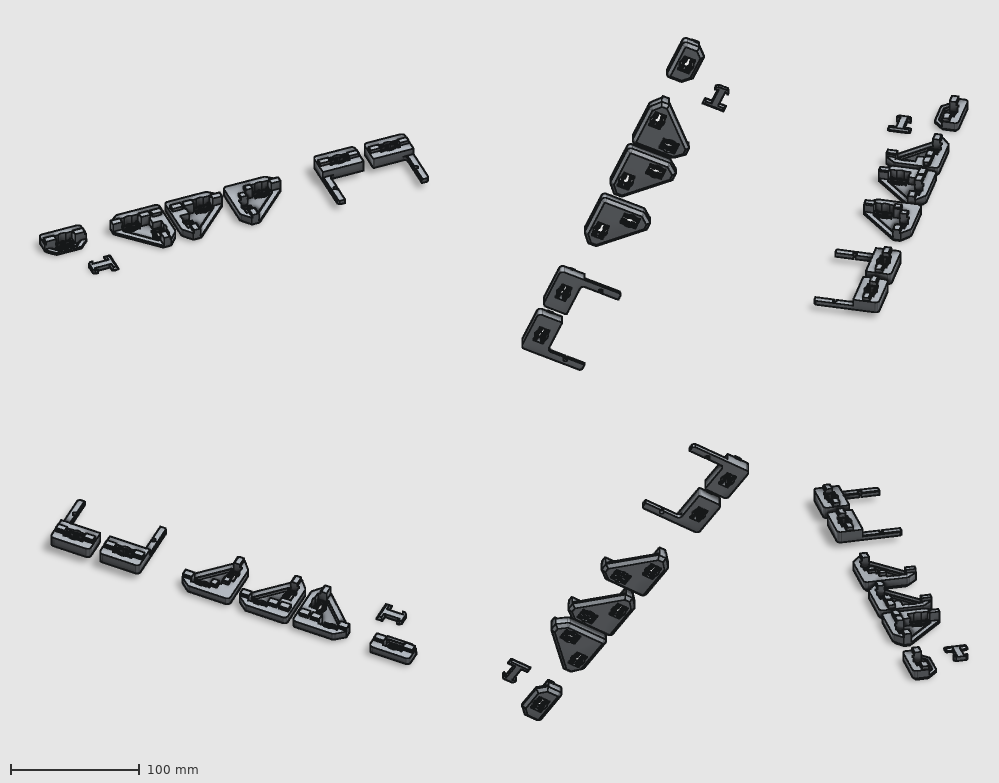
import cadquery as cq
BODY_HEIGHT = 9.2
RAIL_HEIGHT = 2.8
FLOOR_HEIGHT = 2.8
LOW_WALL_HEIGHT = 4.5
RECESS_CHAMFER = 1.2
BASE_CHAMFER = 2.8
CORNER_RADIUS = 3.0

RAIL_WIDTH = 5.5
RAIL_OFFSET = 10.0
RAIL_CHAMFER = 1.0
SLIM_RAIL_CHAMFER = 0.3
RAIL_END_CHAMFER = 0.5
RAIL_INSET = 1.0
RAIL_INNER = RAIL_OFFSET + RAIL_WIDTH / 2
RAIL_OUTER = RAIL_OFFSET - RAIL_WIDTH / 2

POCKET_LENGTH = 16.0
POCKET_WIDTH = 9.2
POCKET_CIRCLE = 11.0
FRAME_END = 1.5
BAR_OUTER = 3.0
BAR_THICKNESS = 0.5
TOOTH_DEPTH = 0.77
TOOTH_LENGTH = 3.5
TOOTH_SPACING = 3.7
BUMP_DIAMETER = 1.5

BLOCK_WIDTH = 20.3
ARM_BLOCK_LENGTH = 34.5
END_BLOCK_LENGTH = 34.7
EDGE_RADIUS = 0.5

ARM_BASE = 5.5
ARM_LENGTH = 31.3
ARM_POCKET_WIDTH = 8.3
ARM_POCKET_CIRCLE = 10.5
ARM_FRAME_HEIGHT = 8.3
ARM_WIDTH = 5.8
ARM_HEIGHT = 3.7
ARM_CHAMFER = 0.5
ARM_TIP_CHAMFER = 1.5
ARM_ROOT_RADIUS = 2.8
NOTCH_DIAMETER = 3.5
NOTCH_X = 36.0
NOTCH_INSET = 1.5
UPPER_BLOCK_TOP = 16.5
UPPER_BLOCK_Y = 290.5
LOWER_BLOCK_Y = 248.0

BRACKET_X = 1.8
CORNER_SIZE = 43.3
CORNER_END_WIDTH = 6.8
CORNER_BEVEL = 8.0
POCKET_CENTRE = 27.5
RECESS_DIAGONAL = 50.0
PLAIN_RAIL_START = 14.0
KEYED_RAIL_START = 12.0
KEY_START = 1.8
KEY_END = 10.0
KEY_CHAMFER = 1.2
PLAIN_CORNER_Y = 154.5
KEYED_CORNER_Y = 105.3
MIRRORED_CORNER_Y = 100.5

END_BEVEL = 6.8
END_WALL = 2.8

CLIP_X = 46.5
CLIP_Y = 25.5
CLIP_LENGTH = 19.5
CLIP_HEIGHT = 3.7
HEAD_LENGTH = 17.8
HEAD_WIDTH = 5.2
HEAD_CHAMFER = 1.5
SHANK_WIDTH = 5.5
FOOT_BASE = 8.0
FOOT_WIDTH = 11.0
FOOT_BEVEL = 1.5
HOOK_TIP = 3.7
HOOK_ROOT = 2.0


def box(x_min, x_max, y_min, y_max, z_min, z_max):
    """Box between the given limits."""
    size = (x_max - x_min, y_max - y_min, z_max - z_min)
    return cq.Workplane().box(*size, centered=False).translate((x_min, y_min, z_min))


def along_x(shape):
    """Swap X and Y, so that a feature of the Y rail moves to the X rail."""
    return shape.rotate((0, 0, 0), (0, 0, 1), -90).mirror("XZ")


def pocket_cutter(width, circle):
    """Opening for the clip through the whole body: a rectangle with a round middle."""
    height = BODY_HEIGHT + RAIL_HEIGHT
    rectangle = cq.Workplane().rect(width, POCKET_LENGTH).extrude(height)
    return rectangle.union(cq.Workplane().circle(circle / 2).extrude(height))


def spring_frame(width, height):
    """Two ledges joined by toothed spring bars, each bar with a round bump outside."""
    bar_centre = BAR_OUTER - BAR_THICKNESS / 2
    tooth_centre = BAR_OUTER - BAR_THICKNESS - TOOTH_DEPTH / 2
    frame = cq.Workplane().pushPoints([(-bar_centre, 0), (bar_centre, 0)])
    frame = frame.rect(BAR_THICKNESS, POCKET_LENGTH).extrude(height)
    for side in (-1, 1):
        ledge_y = side * (POCKET_LENGTH - FRAME_END) / 2
        ledge = cq.Workplane().center(0, ledge_y).rect(width, FRAME_END)
        bump = cq.Workplane().center(side * BAR_OUTER, 0).circle(BUMP_DIAMETER / 2)
        teeth = cq.Workplane().pushPoints(
            [(side * tooth_centre, -TOOTH_SPACING), (side * tooth_centre, TOOTH_SPACING)]
        )
        teeth = teeth.rect(TOOTH_DEPTH, TOOTH_LENGTH)
        for outline in (ledge, bump, teeth):
            frame = frame.union(outline.extrude(height))
    return frame


def rail(start, end, chamfer_width):
    """Rail along Y on top of the body, chamfered on its outer upper edge."""
    top = BODY_HEIGHT + RAIL_HEIGHT
    profile = [
        (RAIL_OUTER, BODY_HEIGHT),
        (RAIL_OUTER, top - RAIL_CHAMFER),
        (RAIL_OUTER + chamfer_width, top),
        (RAIL_INNER, top),
        (RAIL_INNER, BODY_HEIGHT),
    ]
    return cq.Workplane("XZ", origin=(0, start, 0)).polyline(profile).close().extrude(start - end)


def block_pocket(body, width, circle, frame_height):
    """Cut the clip pocket across the rail of a straight block and add its spring frame."""
    place = (RAIL_OFFSET, 0, 0)
    body = body.cut(pocket_cutter(width, circle).translate(place))
    return body.union(spring_frame(width, frame_height).translate(place))


def arm_bracket(block_bottom, block_top, arm_side):
    """Block around its pocket centre; the arm leaves it at the +Y (1) or -Y (-1) end."""
    body = box(0, BLOCK_WIDTH, block_bottom, block_top, 0, BODY_HEIGHT)
    body = body.edges("|Z and <X").fillet(CORNER_RADIUS)
    free_corner = "|Z and >X and <Y" if arm_side > 0 else "|Z and >X and >Y"
    body = body.edges(free_corner).fillet(EDGE_RADIUS)

    outer_y = block_top if arm_side > 0 else block_bottom
    inner_y = outer_y - arm_side * ARM_WIDTH
    arm_y = sorted((outer_y, inner_y))
    tip_x = BLOCK_WIDTH + ARM_LENGTH
    arm = box(BLOCK_WIDTH - CORNER_RADIUS, tip_x, *arm_y, 0, ARM_HEIGHT)
    tip_corner = "|Z and >X and >Y" if arm_side > 0 else "|Z and >X and <Y"
    arm = arm.edges(tip_corner).chamfer(ARM_TIP_CHAMFER)
    arm = arm.edges("<Y and >Z").chamfer(ARM_CHAMFER)
    notch = cq.Workplane().center(NOTCH_X, inner_y + arm_side * NOTCH_INSET)
    arm = arm.cut(notch.circle(NOTCH_DIAMETER / 2).extrude(ARM_HEIGHT))

    root = (
        cq.Workplane()
        .moveTo(BLOCK_WIDTH, inner_y)
        .lineTo(BLOCK_WIDTH + ARM_ROOT_RADIUS, inner_y)
        .radiusArc((BLOCK_WIDTH, inner_y - arm_side * ARM_ROOT_RADIUS), -arm_side * ARM_ROOT_RADIUS)
        .close()
        .extrude(ARM_HEIGHT)
    )
    top_rail = rail(block_bottom + RAIL_INSET, block_top - RAIL_INSET, RAIL_CHAMFER)
    body = body.union(top_rail).union(arm).union(root)
    return block_pocket(body, ARM_POCKET_WIDTH, ARM_POCKET_CIRCLE, ARM_FRAME_HEIGHT)


def corner_body():
    """Triangular body with bevelled rail ends and a recess inside its slanted wall."""
    end_outer = RAIL_OFFSET - CORNER_END_WIDTH / 2
    end_inner = RAIL_OFFSET + CORNER_END_WIDTH / 2
    bevel_start = CORNER_SIZE - CORNER_BEVEL
    body = (
        cq.Workplane()
        .polyline(
            [
                (0, 0),
                (bevel_start, 0),
                (CORNER_SIZE, end_outer),
                (CORNER_SIZE, end_inner),
                (end_inner, CORNER_SIZE),
                (end_outer, CORNER_SIZE),
                (0, bevel_start),
            ]
        )
        .close()
        .extrude(BODY_HEIGHT)
    )
    body = body.edges("|Z and (<X or <Y)").fillet(CORNER_RADIUS)
    body = body.faces("<Z").edges().chamfer(BASE_CHAMFER)

    recess_end = POCKET_CENTRE + POCKET_LENGTH / 2
    recess = (
        cq.Workplane()
        .workplane(offset=FLOOR_HEIGHT)
        .polyline(
            [
                (RAIL_INNER, RAIL_INNER),
                (recess_end, RAIL_INNER),
                (recess_end, RECESS_DIAGONAL - recess_end),
                (RECESS_DIAGONAL - recess_end, recess_end),
                (RAIL_INNER, recess_end),
            ]
        )
        .close()
        .extrude(BODY_HEIGHT)
    )
    recess = recess.faces(">(1, 1, 0)").edges("<Z").chamfer(RECESS_CHAMFER)
    above_wall = box(RAIL_INNER, CORNER_SIZE, RAIL_INNER, CORNER_SIZE, LOW_WALL_HEIGHT, BODY_HEIGHT)
    return body.cut(recess).cut(above_wall)


def corner_x_rail(start, chamfer_side):
    """Rail along X, chamfered on the upper edge of its inner (">Y") or outer ("<Y") side."""
    top = BODY_HEIGHT + RAIL_HEIGHT
    bar = box(start, CORNER_SIZE, RAIL_OUTER, RAIL_INNER, BODY_HEIGHT, top)
    return bar.edges(f"{chamfer_side} and >Z").chamfer(RAIL_CHAMFER)


def corner_pockets(body):
    """Cut one clip pocket in each rail and add the spring frames."""
    place = (RAIL_OFFSET, POCKET_CENTRE, 0)
    cutter = pocket_cutter(POCKET_WIDTH, POCKET_CIRCLE).translate(place)
    frame = spring_frame(POCKET_WIDTH, FLOOR_HEIGHT).translate(place)
    body = body.cut(cutter).cut(along_x(cutter))
    return body.union(frame).union(along_x(frame))


def plain_corner():
    """Corner bracket with a rail on both sides of each pocket."""
    y_rail = rail(PLAIN_RAIL_START, CORNER_SIZE, SLIM_RAIL_CHAMFER)
    y_rail = y_rail.edges("<Y and >Z").chamfer(RAIL_END_CHAMFER)
    x_rail = corner_x_rail(PLAIN_RAIL_START, ">Y")
    x_rail = x_rail.edges("<X and >Z").chamfer(RAIL_END_CHAMFER)
    return corner_pockets(corner_body().union(y_rail).union(x_rail))


def keyed_corner(key, chamfer_side):
    """Corner bracket with a separate key in line with the Y rail."""
    y_rail = rail(KEYED_RAIL_START, CORNER_SIZE, SLIM_RAIL_CHAMFER)
    x_rail = corner_x_rail(POCKET_CENTRE, chamfer_side)
    return corner_pockets(corner_body().union(y_rail).union(x_rail).union(key))


def end_block():
    """Straight block with bevelled inner corners and a recess beside its rail."""
    half = END_BLOCK_LENGTH / 2
    body = box(0, BLOCK_WIDTH, -half, half, 0, BODY_HEIGHT)
    body = body.edges("|Z and >X").chamfer(END_BEVEL)
    body = body.edges("|Z and <X").fillet(CORNER_RADIUS)
    body = body.faces("<Z").edges().chamfer(BASE_CHAMFER)

    recess_x = BLOCK_WIDTH - END_WALL
    near = POCKET_LENGTH / 2 + recess_x - RAIL_INNER
    far = POCKET_LENGTH / 2
    recess = (
        cq.Workplane()
        .workplane(offset=FLOOR_HEIGHT)
        .polyline([(RAIL_INNER, -near), (recess_x, -far), (recess_x, far), (RAIL_INNER, near)])
        .close()
        .extrude(BODY_HEIGHT)
    )
    recess = recess.faces("<Z").edges("not <X").chamfer(RECESS_CHAMFER)
    above_wall = box(RAIL_INNER, BLOCK_WIDTH, -half, half, LOW_WALL_HEIGHT, BODY_HEIGHT)
    body = body.cut(recess).cut(above_wall)
    body = body.union(rail(-half + RAIL_INSET, half - RAIL_INSET, SLIM_RAIL_CHAMFER))
    return block_pocket(body, POCKET_WIDTH, POCKET_CIRCLE, FLOOR_HEIGHT)


def clip():
    """T-shaped clip: head with chamfered edges, shank and hooked foot."""
    foot = (
        cq.Workplane()
        .polyline(
            [
                (-FOOT_BASE / 2, 0),
                (FOOT_BASE / 2, 0),
                (FOOT_WIDTH / 2, FOOT_BEVEL),
                (FOOT_WIDTH / 2, HOOK_TIP),
                (SHANK_WIDTH / 2, HOOK_ROOT),
                (-SHANK_WIDTH / 2, HOOK_ROOT),
                (-FOOT_WIDTH / 2, HOOK_TIP),
                (-FOOT_WIDTH / 2, FOOT_BEVEL),
            ]
        )
        .close()
        .extrude(CLIP_HEIGHT)
    )
    shank = box(-SHANK_WIDTH / 2, SHANK_WIDTH / 2, 0, CLIP_LENGTH - HEAD_WIDTH / 2, 0, CLIP_HEIGHT)
    head = box(-HEAD_LENGTH / 2, HEAD_LENGTH / 2, CLIP_LENGTH - HEAD_WIDTH, CLIP_LENGTH, 0, CLIP_HEIGHT)
    head = head.faces("<Z or >Z").edges().chamfer(HEAD_CHAMFER)
    return foot.union(shank).union(head)


upper_arm = arm_bracket(-ARM_BLOCK_LENGTH / 2, UPPER_BLOCK_TOP, 1).translate((0, UPPER_BLOCK_Y, ARM_BASE))
lower_arm = arm_bracket(-ARM_BLOCK_LENGTH / 2, ARM_BLOCK_LENGTH / 2, -1).translate((0, LOWER_BLOCK_Y, ARM_BASE))
corner_plain = plain_corner().translate((BRACKET_X, PLAIN_CORNER_Y, 0))
square_key = rail(KEY_START, KEY_END, SLIM_RAIL_CHAMFER)
bevelled_key = square_key.edges("|Z and <Y").chamfer(KEY_CHAMFER)
corner_keyed = keyed_corner(square_key, ">Y").translate((BRACKET_X, KEYED_CORNER_Y, 0))
corner_mirrored = keyed_corner(bevelled_key, "<Y").mirror("XZ")
corner_mirrored = corner_mirrored.translate((BRACKET_X, MIRRORED_CORNER_Y, 0))
end_piece = end_block().translate((BRACKET_X, END_BLOCK_LENGTH / 2, 0))
t_clip = clip().translate((CLIP_X, CLIP_Y, 0))
bodies = [upper_arm, lower_arm, corner_plain, corner_keyed, corner_mirrored, end_piece, t_clip]
result = cq.Compound.makeCompound([body.val() for body in bodies])